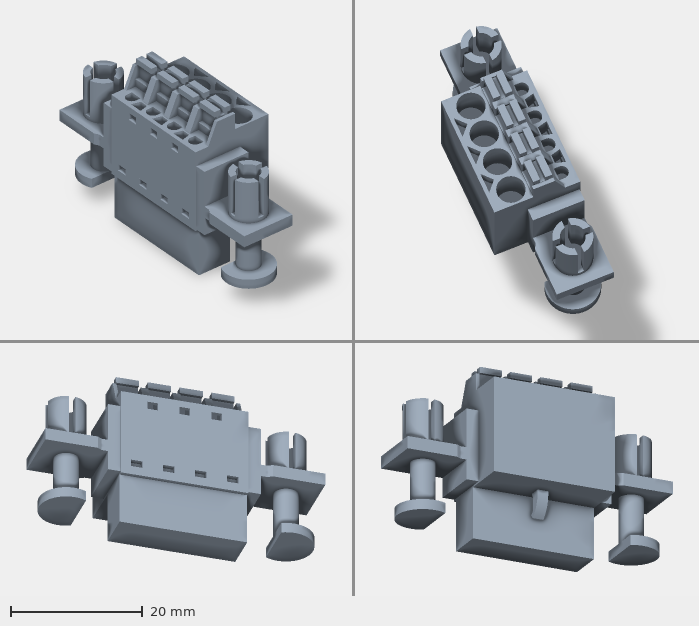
import cadquery as cq


POLES = 4
PITCH = 5.05
POLE_XS = [(i - (POLES - 1) / 2) * PITCH for i in range(POLES)]
DIVIDER_XS = [(i - (POLES - 2) / 2) * PITCH for i in range(POLES - 1)]

HOUSING_WIDTH = POLES * PITCH
HOUSING_BACK = 9.8
HOUSING_FRONT = -4.4
HOUSING_BOTTOM = 8.3
BACK_SHELF_TOP = 23.7
FRONT_SHELF_TOP = 22.7
RIDGE_TOP = 26.5
RIDGE_BACK = 3.35
RIDGE_FRONT_TOP = -0.22
RIDGE_FRONT_FOOT = -1.9

PLUG_BACK = 2.3
PLUG_FRONT = -3.75

HOOK_WIDTH = 1.8
HOOK_ROOT_BACK = 5.65
HOOK_ROOT_FRONT = 3.6
HOOK_NECK_FRONT = 4.05
HOOK_NECK_TOP = 7.4
HOOK_NECK_BOTTOM = 5.43
HOOK_TIP_Y = 3.35
HOOK_TIP_Z = 4.85
HOOK_BOTTOM_Y = 3.9
HOOK_BOTTOM = 4.25
HOOK_BACK_MID_Y = 5.03
HOOK_BACK_MID_Z = 5.55

CHANNEL_WIDTH = 3.85
CHANNEL_FLOOR = 24.05
LEDGE_FRONT = -0.2

ENTRY_RADIUS = 2.22
ENTRY_Y = 5.95
ENTRY_DEPTH = 5.35
TRIANGLE_WIDTH = 3.4
TRIANGLE_BACK = 9.15
TRIANGLE_TIP = 7.65
TRIANGLE_DEPTH = 1.8

TEST_WIDTH = 2.1
TEST_BACK = -1.6
TEST_FRONT = -3.5
TEST_DEPTH = 2.65
POCKET_BACK = -2.15
POCKET_FRONT = -3.75
POCKET_BACK_WIDTH = 1.45
POCKET_FRONT_WIDTH = 2.3
POCKET_DEPTH = 3.55

UPPER_WINDOW_WIDTH = 1.7
UPPER_WINDOW_BOTTOM = 20.32
UPPER_WINDOW_TOP = 21.55
LOWER_WINDOW_WIDTH = 1.82
LOWER_WINDOW_BOTTOM = 9.75
LOWER_WINDOW_TOP = 10.85
LOWER_WINDOW_DEPTH = 0.9

BLOCK_END = 12.15
BLOCK_HALF_DEPTH = 4.25
BLOCK_BOTTOM = 8.6
BLOCK_TOP = 20.1
PLATE_END = 22.25
PLATE_HALF_DEPTH = 4.7
PLATE_BOTTOM = 11.8
PLATE_TOP = 13.8
PLATE_NECK_END = 13.15
PLATE_SHOULDER = 13.9

SCREW_X = 17.48
COLLAR_RADIUS = 3.1
COLLAR_TOP = 21.15
SHANK_RADIUS = 1.95
SLOT_WIDTH = 1.02
SLOT_BOTTOM = 14.5
FOOT_RADIUS = 4.3
FOOT_BOTTOM = 2.65
FOOT_TOP = 4.3

LEVER_WIDTH = 3.65
LEVER_TOP = 27.75
HEAD_BACK = 3.1
HEAD_FRONT = -0.05
HEAD_BOTTOM = 26.75
STEM_BACK = 2.55
STEM_FRONT = 0.55
GROOVE_BACK = 1.95
GROOVE_FRONT = 1.1
GROOVE_FLOOR = 26.6


def box(x_range, y_range, z_range):
    """Box spanning the given (low, high) ranges."""
    ranges = (x_range, y_range, z_range)
    lows = tuple(low for low, high in ranges)
    sizes = [high - low for low, high in ranges]
    return cq.Workplane("XY").box(*sizes, centered=False).translate(lows)


def cylinder(radius, bottom, top):
    """Upright cylinder on the Z axis."""
    return cq.Workplane("XY").workplane(offset=bottom).circle(radius).extrude(top - bottom)


def centred(middle, width):
    """Range of the given width about a middle value."""
    return (middle - width / 2, middle + width / 2)


def extrude_along_x(outline, width):
    """Extrude a closed YZ outline symmetrically about X = 0."""
    return outline.extrude(width / 2, both=True)


def make_shell():
    outline = cq.Workplane("YZ").polyline([
        (HOUSING_BACK, HOUSING_BOTTOM),
        (HOUSING_BACK, BACK_SHELF_TOP),
        (RIDGE_BACK, BACK_SHELF_TOP),
        (RIDGE_BACK, RIDGE_TOP),
        (RIDGE_FRONT_TOP, RIDGE_TOP),
        (RIDGE_FRONT_FOOT, FRONT_SHELF_TOP),
        (HOUSING_FRONT, FRONT_SHELF_TOP),
        (HOUSING_FRONT, HOUSING_BOTTOM),
        (PLUG_FRONT, HOUSING_BOTTOM),
        (PLUG_FRONT, 0),
        (PLUG_BACK, 0),
        (PLUG_BACK, HOUSING_BOTTOM),
    ]).close()
    return extrude_along_x(outline, HOUSING_WIDTH)


def make_hook():
    outline = (
        cq.Workplane("YZ")
        .moveTo(HOOK_ROOT_BACK, HOUSING_BOTTOM)
        .threePointArc((HOOK_BACK_MID_Y, HOOK_BACK_MID_Z), (HOOK_BOTTOM_Y, HOOK_BOTTOM))
        .lineTo(HOOK_TIP_Y, HOOK_TIP_Z)
        .lineTo(HOOK_NECK_FRONT, HOOK_NECK_BOTTOM)
        .lineTo(HOOK_NECK_FRONT, HOOK_NECK_TOP)
        .lineTo(HOOK_ROOT_FRONT, HOUSING_BOTTOM)
        .close()
    )
    return extrude_along_x(outline, HOOK_WIDTH)


def make_flange(side):
    """Block and drilled plate at one end; side is -1 or +1 along X."""
    inner_end = HOUSING_WIDTH / 2
    block = box(
        sorted((side * inner_end, side * BLOCK_END)),
        (-BLOCK_HALF_DEPTH, BLOCK_HALF_DEPTH),
        (BLOCK_BOTTOM, BLOCK_TOP),
    )
    half_outline = [
        (inner_end, BLOCK_HALF_DEPTH),
        (PLATE_NECK_END, BLOCK_HALF_DEPTH),
        (PLATE_SHOULDER, PLATE_HALF_DEPTH),
        (PLATE_END, PLATE_HALF_DEPTH),
    ]
    outline = half_outline + [(x, -y) for x, y in reversed(half_outline)]
    plate = (
        cq.Workplane("XY", origin=(0, 0, PLATE_BOTTOM))
        .polyline([(side * x, y) for x, y in outline])
        .close()
        .extrude(PLATE_TOP - PLATE_BOTTOM)
    )
    hole = cylinder(SHANK_RADIUS, PLATE_BOTTOM, PLATE_TOP).translate((side * SCREW_X, 0, 0))
    return block.union(plate.cut(hole))


def lever_channel(x):
    """Slot through the ridge that leaves a floor for the lever and a lower front step."""
    x_range = centred(x, CHANNEL_WIDTH)
    upper = box(x_range, (RIDGE_FRONT_FOOT, RIDGE_BACK), (CHANNEL_FLOOR, RIDGE_TOP))
    front = box(x_range, (RIDGE_FRONT_FOOT, LEDGE_FRONT), (FRONT_SHELF_TOP, RIDGE_TOP))
    return upper.union(front)


def wire_entry(x):
    mouth = cq.Workplane("XY", origin=(x, ENTRY_Y, BACK_SHELF_TOP))
    return mouth.circle(ENTRY_RADIUS).extrude(-ENTRY_DEPTH)


def triangle_recess(x):
    return (
        cq.Workplane("XY", origin=(x, 0, BACK_SHELF_TOP))
        .polyline([
            (-TRIANGLE_WIDTH / 2, TRIANGLE_BACK),
            (TRIANGLE_WIDTH / 2, TRIANGLE_BACK),
            (0, TRIANGLE_TIP),
        ])
        .close()
        .extrude(-TRIANGLE_DEPTH)
    )


def test_opening(x):
    """Opening with a straight back and a round front."""
    radius = TEST_WIDTH / 2
    return (
        cq.Workplane("XY", origin=(x, 0, FRONT_SHELF_TOP))
        .moveTo(-radius, TEST_BACK)
        .lineTo(-radius, TEST_FRONT + radius)
        .threePointArc((0, TEST_FRONT), (radius, TEST_FRONT + radius))
        .lineTo(radius, TEST_BACK)
        .close()
        .extrude(-TEST_DEPTH)
    )


def window_pocket(x):
    """Trapezoid pocket from the front shelf, with a window through the front wall."""
    pocket = (
        cq.Workplane("XY", origin=(x, 0, FRONT_SHELF_TOP))
        .polyline([
            (-POCKET_BACK_WIDTH / 2, POCKET_BACK),
            (POCKET_BACK_WIDTH / 2, POCKET_BACK),
            (POCKET_FRONT_WIDTH / 2, POCKET_FRONT),
            (-POCKET_FRONT_WIDTH / 2, POCKET_FRONT),
        ])
        .close()
        .extrude(-POCKET_DEPTH)
    )
    window = box(
        centred(x, UPPER_WINDOW_WIDTH),
        (HOUSING_FRONT, POCKET_FRONT),
        (UPPER_WINDOW_BOTTOM, UPPER_WINDOW_TOP),
    )
    return pocket.union(window)


def lower_window(x):
    return box(
        centred(x, LOWER_WINDOW_WIDTH),
        (HOUSING_FRONT, HOUSING_FRONT + LOWER_WINDOW_DEPTH),
        (LOWER_WINDOW_BOTTOM, LOWER_WINDOW_TOP),
    )


def make_housing():
    body = make_shell().union(make_hook())
    for side in (-1, 1):
        body = body.union(make_flange(side))
    for x in POLE_XS:
        for tool in (lever_channel(x), wire_entry(x), test_opening(x), lower_window(x)):
            body = body.cut(tool)
    for x in DIVIDER_XS:
        for tool in (triangle_recess(x), window_pocket(x)):
            body = body.cut(tool)
    return body


def make_lever(x):
    """Push lever with a grooved head, standing against the left wall of its channel."""
    left = x - CHANNEL_WIDTH / 2
    x_range = (left, left + LEVER_WIDTH)
    stem = box(x_range, (STEM_FRONT, STEM_BACK), (CHANNEL_FLOOR, LEVER_TOP))
    head = box(x_range, (HEAD_FRONT, HEAD_BACK), (HEAD_BOTTOM, LEVER_TOP))
    groove = box(x_range, (GROOVE_FRONT, GROOVE_BACK), (GROOVE_FLOOR, LEVER_TOP))
    return stem.union(head).cut(groove)


def make_screw(side):
    """Screw with a cross-slotted hollow collar and a foot cut flat on its inner side."""
    shank = cylinder(SHANK_RADIUS, FOOT_BOTTOM, PLATE_TOP)
    foot = cylinder(FOOT_RADIUS, FOOT_BOTTOM, FOOT_TOP)
    inner_side = box(
        sorted((-side * SHANK_RADIUS, -side * FOOT_RADIUS)),
        (-FOOT_RADIUS, FOOT_RADIUS),
        (FOOT_BOTTOM, FOOT_TOP),
    )
    collar = cylinder(COLLAR_RADIUS, PLATE_TOP, COLLAR_TOP)
    bore = cylinder(SHANK_RADIUS, SLOT_BOTTOM, COLLAR_TOP)
    across = (-COLLAR_RADIUS, COLLAR_RADIUS)
    slot_width = centred(0, SLOT_WIDTH)
    slot_height = (SLOT_BOTTOM, COLLAR_TOP)
    collar = (
        collar.cut(bore)
        .cut(box(across, slot_width, slot_height))
        .cut(box(slot_width, across, slot_height))
    )
    screw = foot.cut(inner_side).union(shank).union(collar)
    return screw.translate((side * SCREW_X, 0, 0))


housing = make_housing()
levers = [make_lever(x) for x in POLE_XS]
screws = [make_screw(side) for side in (-1, 1)]

result = cq.Compound.makeCompound([
    housing.val(),
    *[lever.val() for lever in levers],
    *[screw.val() for screw in screws],
])